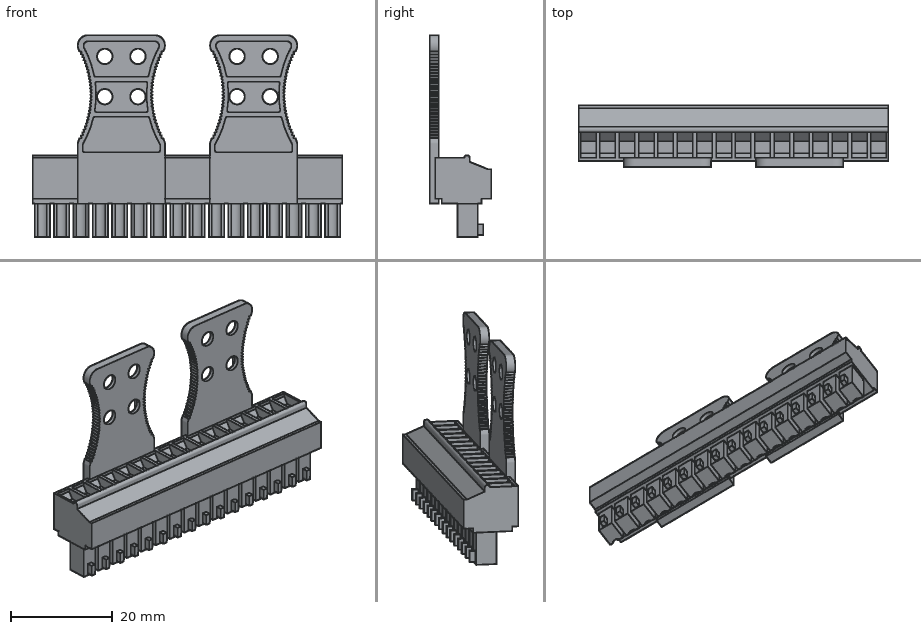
import cadquery as cq
import math


HOUSING_LENGTH = 60.95
FRONT_Y = 1.15
BACK_Y = 12.2
BLOCK_BOTTOM_Z = 7.5
BLOCK_TOP_Z = 15.6
BACK_WALL_TOP_Z = 13.35
BACK_LEDGE = 0.7
RIDGE_RADIUS = 0.5
RIDGE_FLAT_WIDTH = 0.1
RIDGE_BACK_Y = 7.9
SLOPE_TOP_Z = 14.8

BASE_BOTTOM_Z = 6.6
BASE_FRONT_Y = 2.4
BASE_BACK_Y = 10.25

CONTACT_COUNT = 16
CONTACT_PITCH = HOUSING_LENGTH / CONTACT_COUNT
CONTACT_WIDTH = 3.05

ENTRY_FRONT_Y = 1.8
ENTRY_FRONT_WALL_Z = 15.0
ENTRY_FLOOR_FRONT_Y = 2.75
ENTRY_FLOOR_BACK_Y = 5.1
ENTRY_FLOOR_Z = 13.65

POST_FRONT_Y = 5.5
POST_BACK_Y = 9.5
FLUTE_WIDTH = 1.8
FLUTE_RADIUS = 1.2
RIB_WIDTH = 0.9
RIB_DEPTH = 1.1
RIB_BOTTOM_Z = 0.35
RIB_TOP_Z = 2.55

HANDLE_SPACING = 26.0
HANDLE_HALF_WIDTH = 8.6
HANDLE_THICKNESS = 1.8
HANDLE_TOP_Z = 39.75
HANDLE_CORNER_RADIUS = 2.1
SHOULDER_Z = 18.55
SHOULDER_RADIUS = 0.8
WAIST_Z = 28.0
WAIST_RADIUS = 18.3
GRIP_NOTCH_COUNT = 28
GRIP_NOTCH_ANGLE = 2.0

RECESS_DEPTH = 1.0
RECESS_INSET = 1.15
RECESS_CORNER_RADIUS = 0.35
TOP_RECESS_CORNER_RADIUS = 0.9
TOP_RECESS_Z = (31.5, 38.5)
MIDDLE_RECESS_Z = (24.55, 30.6)
LOWER_RECESS_Z = (16.7, 23.65)
LOWER_RECESS_HALF_WIDTH = 7.6
HOLE_DIAMETER = 3.0
HOLE_SPACING = 6.5
HOLE_ROWS_Z = (27.6, 35.55)

contact_xs = [(i - (CONTACT_COUNT - 1) / 2) * CONTACT_PITCH for i in range(CONTACT_COUNT)]
handle_xs = [side * HANDLE_SPACING / 2 for side in (-1, 1)]
ridge_front_y = RIDGE_BACK_Y - RIDGE_FLAT_WIDTH - 2 * RIDGE_RADIUS
ridge_top_z = BLOCK_TOP_Z + RIDGE_RADIUS

corner_x = HANDLE_HALF_WIDTH - HANDLE_CORNER_RADIUS
corner_z = HANDLE_TOP_Z - HANDLE_CORNER_RADIUS
waist_top_angle = math.asin((corner_z - WAIST_Z) / (WAIST_RADIUS + HANDLE_CORNER_RADIUS))
waist_bottom_angle = math.radians(-GRIP_NOTCH_ANGLE * GRIP_NOTCH_COUNT / 2)
waist_center_x = corner_x + (WAIST_RADIUS + HANDLE_CORNER_RADIUS) * math.cos(waist_top_angle)


def box(x_middle, width, y_range, z_range):
    """A block centred on x_middle, between two Y and two Z values."""
    return (
        cq.Workplane("XY")
        .box(width, y_range[1] - y_range[0], z_range[1] - z_range[0], centered=(True, False, False))
        .translate((x_middle, y_range[0], z_range[0]))
    )


def front_plane():
    """The sketch plane of the handle fronts, facing -Y, with sketch axes X and Z."""
    return cq.Workplane("XZ")


def housing_block():
    """The long block: rounded ridge on top, sloping back, and a stepped underside."""
    half_length = HOUSING_LENGTH / 2
    return (
        cq.Workplane("YZ", origin=(-half_length, 0, 0))
        .moveTo(FRONT_Y, BLOCK_BOTTOM_Z)
        .lineTo(FRONT_Y, BLOCK_TOP_Z)
        .lineTo(ridge_front_y, BLOCK_TOP_Z)
        .radiusArc((ridge_front_y + RIDGE_RADIUS, ridge_top_z), RIDGE_RADIUS)
        .lineTo(RIDGE_BACK_Y - RIDGE_RADIUS, ridge_top_z)
        .radiusArc((RIDGE_BACK_Y, BLOCK_TOP_Z), RIDGE_RADIUS)
        .lineTo(RIDGE_BACK_Y, SLOPE_TOP_Z)
        .lineTo(BACK_Y - BACK_LEDGE, BACK_WALL_TOP_Z)
        .lineTo(BACK_Y, BACK_WALL_TOP_Z)
        .lineTo(BACK_Y, BLOCK_BOTTOM_Z)
        .lineTo(BASE_BACK_Y, BLOCK_BOTTOM_Z)
        .lineTo(BASE_BACK_Y, BASE_BOTTOM_Z)
        .lineTo(BASE_FRONT_Y, BASE_BOTTOM_Z)
        .lineTo(BASE_FRONT_Y, BLOCK_BOTTOM_Z)
        .close()
        .extrude(HOUSING_LENGTH)
    )


def entry_pocket(x):
    """The space cut for one wire entry, with a sloping back and a bevel at the front of its floor."""
    return (
        cq.Workplane("YZ", origin=(x - CONTACT_WIDTH / 2, 0, 0))
        .moveTo(ENTRY_FRONT_Y, BLOCK_TOP_Z)
        .lineTo(ENTRY_FRONT_Y, ENTRY_FRONT_WALL_Z)
        .lineTo(ENTRY_FLOOR_FRONT_Y, ENTRY_FLOOR_Z)
        .lineTo(ENTRY_FLOOR_BACK_Y, ENTRY_FLOOR_Z)
        .lineTo(ridge_front_y, BLOCK_TOP_Z)
        .close()
        .extrude(CONTACT_WIDTH)
    )


def post(x):
    """One plug post with a concave flute down its front and a short rib on its back."""
    body = box(x, CONTACT_WIDTH, (POST_FRONT_Y, POST_BACK_Y), (0, BASE_BOTTOM_Z))
    rib = box(x, RIB_WIDTH, (POST_BACK_Y, POST_BACK_Y + RIB_DEPTH), (RIB_BOTTOM_Z, RIB_TOP_Z))
    flute_center_y = POST_FRONT_Y - math.sqrt(FLUTE_RADIUS**2 - (FLUTE_WIDTH / 2) ** 2)
    flute = cq.Workplane("XY").center(x, flute_center_y).circle(FLUTE_RADIUS).extrude(BASE_BOTTOM_Z)
    return body.cut(flute).union(rib)


def make_housing():
    """The connector housing with its wire entries and plug posts."""
    housing = housing_block()
    for x in contact_xs:
        housing = housing.cut(entry_pocket(x)).union(post(x))
    return housing


def waist_point(side, radius, angle):
    """A point at an angle above the middle of the left (-1) or right (1) waist arc."""
    x = waist_center_x - radius * math.cos(angle)
    return (side * x, WAIST_Z + radius * math.sin(angle))


def corner_middle(side):
    """A point halfway along the left (-1) or right (1) top corner arc."""
    angle = (math.pi / 2 - waist_top_angle) / 2
    x = corner_x + HANDLE_CORNER_RADIUS * math.cos(angle)
    return (side * x, corner_z + HANDLE_CORNER_RADIUS * math.sin(angle))


def handle_plate():
    """The waisted plate, from the base of the housing to the rounded top corners."""
    plate = (
        front_plane()
        .moveTo(-HANDLE_HALF_WIDTH, BASE_BOTTOM_Z)
        .lineTo(HANDLE_HALF_WIDTH, BASE_BOTTOM_Z)
        .lineTo(HANDLE_HALF_WIDTH, SHOULDER_Z)
        .lineTo(*waist_point(1, WAIST_RADIUS, waist_bottom_angle))
        .threePointArc(waist_point(1, WAIST_RADIUS, 0), waist_point(1, WAIST_RADIUS, waist_top_angle))
        .threePointArc(corner_middle(1), (corner_x, HANDLE_TOP_Z))
        .lineTo(-corner_x, HANDLE_TOP_Z)
        .threePointArc(corner_middle(-1), waist_point(-1, WAIST_RADIUS, waist_top_angle))
        .threePointArc(waist_point(-1, WAIST_RADIUS, 0), waist_point(-1, WAIST_RADIUS, waist_bottom_angle))
        .lineTo(-HANDLE_HALF_WIDTH, SHOULDER_Z)
        .close()
        .extrude(-HANDLE_THICKNESS)
    )
    for side in (-1, 1):
        shoulder = (side * HANDLE_HALF_WIDTH, HANDLE_THICKNESS / 2, SHOULDER_Z)
        plate = plate.edges(cq.NearestToPointSelector(shoulder)).fillet(SHOULDER_RADIUS)
    return plate


def grip_notches():
    """Right-angled V notches, side by side along both waist arcs."""
    step = math.radians(GRIP_NOTCH_ANGLE)
    root_radius = WAIST_RADIUS + WAIST_RADIUS * math.sin(step / 2)
    notches = front_plane()
    for side in (-1, 1):
        for i in range(GRIP_NOTCH_COUNT):
            start = waist_bottom_angle + i * step
            notches = notches.polyline(
                [
                    waist_point(side, WAIST_RADIUS, start),
                    waist_point(side, root_radius, start + step / 2),
                    waist_point(side, WAIST_RADIUS, start + step),
                ]
            ).close()
    return notches.extrude(-HANDLE_THICKNESS)


def recess(half_width, z_range, top_corner_radius):
    """The space cut for one front recess, whose sides keep a rim inside the waist arcs."""
    bottom_z, top_z = z_range
    waist_rims = (
        front_plane()
        .pushPoints([(-waist_center_x, WAIST_Z), (waist_center_x, WAIST_Z)])
        .circle(WAIST_RADIUS + RECESS_INSET)
        .extrude(-RECESS_DEPTH)
    )
    space = box(0, 2 * half_width, (0, RECESS_DEPTH), z_range).cut(waist_rims)
    space = space.edges("|Y").edges(">Z").fillet(top_corner_radius)
    return space.edges("|Y").edges("<Z").fillet(RECESS_CORNER_RADIUS)


def handle_holes():
    """Two rows of two through holes in the upper part of the handle."""
    centers = [(side * HOLE_SPACING / 2, z) for side in (-1, 1) for z in HOLE_ROWS_Z]
    return front_plane().pushPoints(centers).circle(HOLE_DIAMETER / 2).extrude(-HANDLE_THICKNESS)


def housing_seat():
    """The step in the back of the handle that fits around the front of the housing."""
    return box(0, 2 * HANDLE_HALF_WIDTH, (FRONT_Y, HANDLE_THICKNESS), (BLOCK_BOTTOM_Z, BLOCK_TOP_Z))


def make_handle(x):
    """One pull handle, hooked over the front of the housing."""
    upper_half_width = HANDLE_HALF_WIDTH - RECESS_INSET
    return (
        handle_plate()
        .cut(grip_notches())
        .cut(recess(upper_half_width, TOP_RECESS_Z, TOP_RECESS_CORNER_RADIUS))
        .cut(recess(upper_half_width, MIDDLE_RECESS_Z, RECESS_CORNER_RADIUS))
        .cut(recess(LOWER_RECESS_HALF_WIDTH, LOWER_RECESS_Z, RECESS_CORNER_RADIUS))
        .cut(handle_holes())
        .cut(housing_seat())
        .translate((x, 0, 0))
    )


housing = make_housing()
handles = [make_handle(x) for x in handle_xs]

result = cq.Compound.makeCompound([housing.val(), *[handle.val() for handle in handles]])